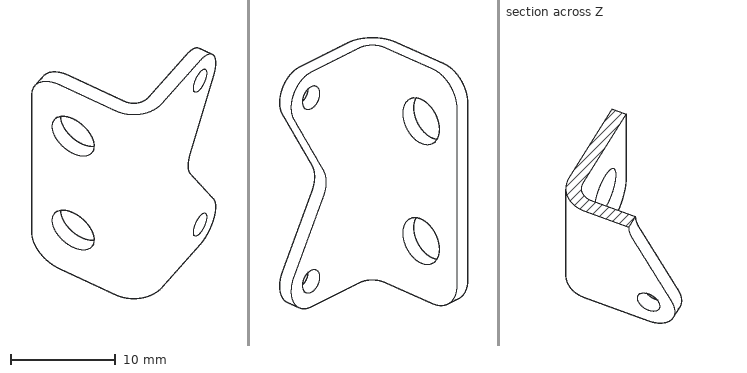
import cadquery as cq
import math

leg_length = 12.7
height = 25.4
thickness = 1.524

outer_bend_radius = 3.175
inner_bend_radius = outer_bend_radius - thickness

corner_radius = outer_bend_radius
mount_hole_diameter = 4.7625
mount_hole_spacing = 12.95
mount_hole_edge_distance = 4.7

ear_radius = 2.778
ear_hole_diameter = 2.38
notch_radius = ear_radius
notch_flank_angle = math.radians(30)

half_height = height / 2


def bent_strip():
    """L-shaped strip with a rounded bend, extruded over the full height."""
    strip = (
        cq.Workplane("XY")
        .workplane(offset=-half_height)
        .polyline([
            (0, 0),
            (leg_length, 0),
            (leg_length, leg_length),
            (leg_length - thickness, leg_length),
            (leg_length - thickness, thickness),
            (0, thickness),
        ])
        .close()
        .extrude(height)
    )
    outer_edge = cq.selectors.NearestToPointSelector((leg_length, 0, 0))
    inner_edge = cq.selectors.NearestToPointSelector((leg_length - thickness, thickness, 0))
    strip = strip.edges("|Z").edges(outer_edge).fillet(outer_bend_radius)
    return strip.edges("|Z").edges(inner_edge).fillet(inner_bend_radius)


def mount_holes():
    """Pair of through holes in the mounting leg."""
    return (
        cq.Workplane("XZ")
        .pushPoints([(mount_hole_edge_distance, side * mount_hole_spacing / 2) for side in (-1, 1)])
        .circle(mount_hole_diameter / 2)
        .extrude(-thickness)
    )


def eared_prism():
    """Prism along X shaped like the eared leg: two pierced ears with a rounded V notch between."""
    ear_y = leg_length - ear_radius
    ear_z = half_height - ear_radius
    notch_center_y = (
        ear_y
        - ear_z * math.tan(notch_flank_angle)
        + (ear_radius + notch_radius) / math.cos(notch_flank_angle)
    )
    notch_bottom_y = notch_center_y - notch_radius

    def on_arc(center_y, center_z, radius, angle):
        """Point on an arc, with the angle measured from +Y towards +Z."""
        return (center_y + radius * math.cos(angle), center_z + radius * math.sin(angle))

    return (
        cq.Workplane("YZ")
        .moveTo(0, -half_height)
        .lineTo(ear_y, -half_height)
        .threePointArc(
            (leg_length, -ear_z),
            on_arc(ear_y, -ear_z, ear_radius, notch_flank_angle),
        )
        .lineTo(*on_arc(notch_center_y, 0, notch_radius, math.pi + notch_flank_angle))
        .threePointArc(
            (notch_bottom_y, 0),
            on_arc(notch_center_y, 0, notch_radius, math.pi - notch_flank_angle),
        )
        .lineTo(*on_arc(ear_y, ear_z, ear_radius, -notch_flank_angle))
        .threePointArc((leg_length, ear_z), (ear_y, half_height))
        .lineTo(0, half_height)
        .close()
        .pushPoints([(ear_y, side * ear_z) for side in (-1, 1)])
        .circle(ear_hole_diameter / 2)
        .extrude(leg_length)
    )


def round_free_corners(strip):
    """Round the two corners at the free end of the mounting leg."""
    return strip.edges("|Y and <X").fillet(corner_radius)


bracket = round_free_corners(bent_strip())
bracket = bracket.cut(mount_holes())
result = bracket.intersect(eared_prism())